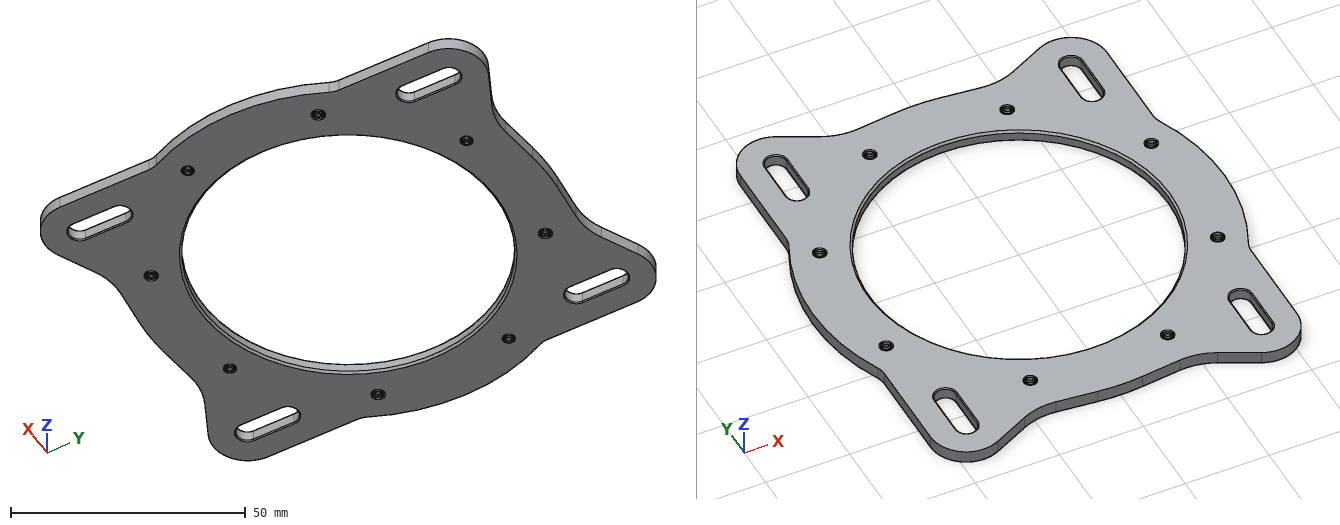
import cadquery as cq
import math

thickness = 3.0
overall_length_y = 108.3
ring_radius = 49.0
bore_diameter = 71.0
bore_chamfer = 0.5

ear_radius = 8.5
ear_x = 35.1
ear_y = overall_length_y / 2 - ear_radius
side_x = ear_x + ear_radius
side_fillet = 5.0

ear_slope = math.radians(26.2)
ring_slope = math.radians(6.2)
valley_fillet = 15.0

slot_width = 5.0
slot_travel = 10.0
slot_chamfer = 0.25
slot_outer_end_y = 45.75
slot_y = slot_outer_end_y - slot_travel / 2

bolt_circle_radius = 42.5
holes_per_set = 4
thread_minor_diameter = 2.53
thread_major_diameter = 3.09
thread_pitch = 0.5
groove_flat = 0.05
first_set_angle = 22.0
first_set_groove_depth = 0.0
second_set_angle = 67.0
second_set_groove_depth = thread_pitch / 4


def ear_quarter():
    """Ear in the +X +Y quadrant together with the plate area back to the part centre."""
    ear_tangent_x = ear_x - ear_radius * math.sin(ear_slope)
    ear_tangent_y = ear_y + ear_radius * math.cos(ear_slope)
    ring_tangent_x = ring_radius * math.sin(ring_slope)
    ring_tangent_y = ring_radius * math.cos(ring_slope)

    ear_gradient = math.tan(ear_slope)
    ring_gradient = math.tan(ring_slope)
    ear_line_at_centre = ear_tangent_y - ear_gradient * ear_tangent_x
    ring_line_at_centre = ring_tangent_y + ring_gradient * ring_tangent_x
    valley_x = (ring_line_at_centre - ear_line_at_centre) / (ear_gradient + ring_gradient)
    valley_y = ring_line_at_centre - ring_gradient * valley_x

    diagonal = ear_radius * math.sqrt(0.5)
    quarter = (
        cq.Workplane("XY")
        .lineTo(side_x, 0)
        .lineTo(side_x, ear_y)
        .threePointArc((ear_x + diagonal, ear_y + diagonal), (ear_tangent_x, ear_tangent_y))
        .lineTo(valley_x, valley_y)
        .lineTo(ring_tangent_x, ring_tangent_y)
        .close()
        .extrude(thickness)
    )
    valley_edge = cq.selectors.NearestToPointSelector((valley_x, valley_y, thickness / 2))
    return quarter.edges("|Z").edges(valley_edge).fillet(valley_fillet)


def side_blend():
    """Concave fillet between the straight +X side of the +Y ear and the ring."""
    centre_x = side_x + side_fillet
    centre_y = math.sqrt((ring_radius + side_fillet) ** 2 - centre_x**2)
    ring_share = ring_radius / (ring_radius + side_fillet)
    touch_x = centre_x * ring_share
    touch_y = centre_y * ring_share
    wedge = (
        cq.Workplane("XY")
        .moveTo(side_x, centre_y)
        .lineTo(centre_x, centre_y)
        .lineTo(touch_x, touch_y)
        .lineTo(side_x, touch_y)
        .close()
        .extrude(thickness)
    )
    fillet_round = cq.Workplane("XY").center(centre_x, centre_y).circle(side_fillet).extrude(thickness)
    return wedge.cut(fillet_round)


def plate():
    quarter = ear_quarter().union(side_blend())
    half = quarter.union(quarter.mirror("YZ"))
    ring = cq.Workplane("XY").circle(ring_radius).extrude(thickness)
    return ring.union(half).union(half.mirror("XZ"))


def bore():
    """Centre bore cutter with a 45 degree chamfer at both faces."""
    inner = bore_diameter / 2
    outer = inner + bore_chamfer
    hole = cq.Workplane("XY").circle(inner).extrude(thickness)
    lower_chamfer = cq.Solid.makeCone(outer, inner, bore_chamfer)
    upper_chamfer = cq.Solid.makeCone(inner, outer, bore_chamfer, cq.Vector(0, 0, thickness - bore_chamfer))
    return hole.union(cq.Workplane(lower_chamfer)).union(cq.Workplane(upper_chamfer))


def slot_outlines(base_z, width):
    """One slot outline per ear, parallel to Y, at the given height."""
    return (
        cq.Workplane("XY", origin=(0, 0, base_z))
        .rect(2 * ear_x, 2 * slot_y, forConstruction=True)
        .vertices()
        .slot2D(slot_travel + width, width, 90)
    )


def slots():
    """Slot cutters with a 45 degree chamfer at both faces."""
    mouth_width = slot_width + 2 * slot_chamfer
    body = slot_outlines(0, slot_width).extrude(thickness)
    lower_chamfer = slot_outlines(0, mouth_width).extrude(slot_chamfer, taper=45)
    upper_chamfer = slot_outlines(thickness, mouth_width).extrude(-slot_chamfer, taper=45)
    return body.union(lower_chamfer).union(upper_chamfer)


def threaded_hole(first_groove_depth):
    """Through-hole cutter on the origin, the thread simplified to rings of V grooves."""
    minor_radius = thread_minor_diameter / 2
    major_radius = thread_major_diameter / 2
    half_root = groove_flat / 2
    half_mouth = (thread_pitch - groove_flat) / 2
    groove_count = math.ceil(thickness / thread_pitch) + 2

    top_groove_z = thickness - first_groove_depth + thread_pitch
    profile = cq.Workplane("XZ").moveTo(0, top_groove_z + half_mouth)
    for index in range(groove_count):
        groove_z = top_groove_z - index * thread_pitch
        profile = (
            profile.lineTo(minor_radius, groove_z + half_mouth)
            .lineTo(major_radius, groove_z + half_root)
            .lineTo(major_radius, groove_z - half_root)
            .lineTo(minor_radius, groove_z - half_mouth)
        )
    lowest_z = top_groove_z - (groove_count - 1) * thread_pitch - half_mouth
    grooved_pin = profile.lineTo(0, lowest_z).close().revolve(360, (0, 0, 0), (0, 1, 0))
    within_plate = cq.Workplane("XY").circle(thread_major_diameter).extrude(thickness)
    return grooved_pin.intersect(within_plate)


def around_bolt_circle(cutter, start_angle):
    places = cq.Workplane("XY").polarArray(bolt_circle_radius, start_angle, 360, holes_per_set)
    return places.eachpoint(lambda place: cutter.val().moved(place))


result = plate().cut(bore()).cut(slots())
result = result.cut(around_bolt_circle(threaded_hole(first_set_groove_depth), first_set_angle))
result = result.cut(around_bolt_circle(threaded_hole(second_set_groove_depth), second_set_angle))